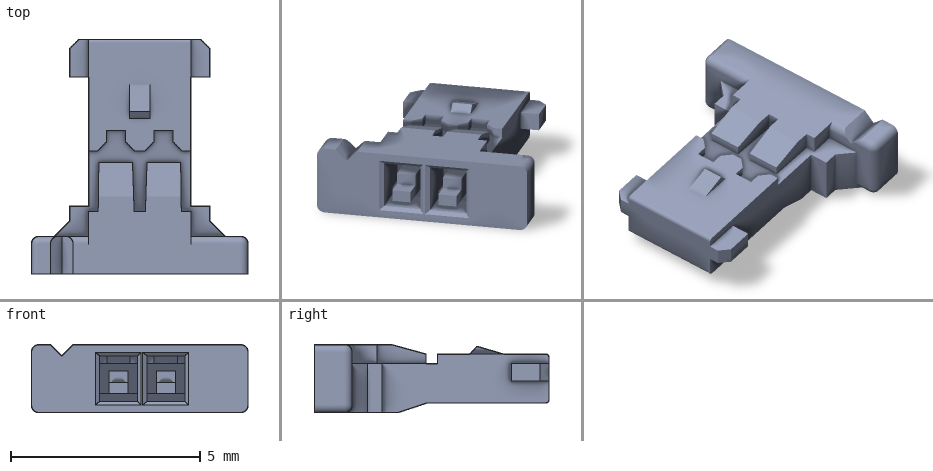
import cadquery as cq


length = 6.2
flange_width = 5.72
height = 1.8

body_width = 2.705
body_bottom = 0.255
body_top = 1.55
shelf_level = 1.295
under_slope_front = 2.21
under_slope_rear = 2.975
raised_block_end = 1.655
rear_deck_start = 3.25
rear_edge_radius = 0.09

flange_thickness = 1.0
flange_radius = 0.2
groove_x = -2.06
groove_depth = 0.3

shoulder_width = 3.71
shoulder_end = 1.79
shoulder_taper_end = 1.4
ear_length = 1.0
ear_bottom = 0.845
ear_chamfer = 0.25

tongue_tip = 2.95
tongue_slope_front = 2.045
tongue_root_inner = 0.15
tongue_root_outer = 1.1
tongue_tip_inner = 0.19
tongue_tip_outer = 1.08

contact_pitch = 1.25
notch_width = 0.51
notch_mouth_width = 0.98
notch_taper_end = 3.49
notch_end = 3.795

nib_width = 0.535
nib_front = 4.105
nib_peak = 4.295
nib_rear = 5.0
nib_top = 1.755

cavity_row_x = 0.07
cavity_width = 1.0
cavity_bottom = 0.3
cavity_top = 1.5
cavity_depth = 1.0
lead_in = 0.09
lead_in_left = 0.12
inner_bottom = 0.5
inner_depth = 1.5
keyway_width = 0.615
keyway_offset = -0.005
keyway_depth = 1.25

post_width = 0.5
post_step_height = 0.3
post_step_length = 0.5


def box(x_range, y_range, z_range):
    """Box between the given limits along X, Y and Z."""
    spans = [high - low for low, high in (x_range, y_range, z_range)]
    return cq.Workplane("XY").box(*spans, centered=False).translate((x_range[0], y_range[0], z_range[0]))


def centred(middle, width):
    return (middle - width / 2, middle + width / 2)


def side_extrusion(profile, width):
    """Extrude a (Y, Z) outline symmetrically along X."""
    return cq.Workplane("YZ").polyline(profile).close().extrude(width / 2, both=True)


def plan_extrusion(outline, bottom, top):
    """Extrude an (X, Y) outline between two Z levels."""
    return cq.Workplane("XY").workplane(offset=bottom).polyline(outline).close().extrude(top - bottom)


def mirrored_outline(right_half):
    """Close a right-hand (X, Y) outline with its reflection about X = 0."""
    return right_half + [(-x, y) for x, y in reversed(right_half)]


def make_body():
    profile = [
        (0, 0),
        (under_slope_front, 0),
        (under_slope_rear, body_bottom),
        (length, body_bottom),
        (length, body_top),
        (rear_deck_start, body_top),
        (rear_deck_start, shelf_level),
        (raised_block_end, shelf_level),
        (raised_block_end, height),
        (0, height),
    ]
    return side_extrusion(profile, body_width).edges("|X and >Y").fillet(rear_edge_radius)


def make_notch(x):
    half_width = notch_width / 2
    half_mouth = notch_mouth_width / 2
    right_half = [
        (half_mouth, rear_deck_start),
        (half_width, notch_taper_end),
        (half_width, notch_end),
    ]
    return plan_extrusion(mirrored_outline(right_half), shelf_level, body_top).translate((x, 0, 0))


def make_flange():
    flange = box(centred(0, flange_width), (0, flange_thickness), (0, height))
    flange = flange.edges("|Y").fillet(flange_radius)
    return flange.faces(">Y").edges().fillet(flange_radius)


def make_groove():
    """V groove with 45 degree sides along the top of the flange."""
    profile = [
        (groove_x - groove_depth, height),
        (groove_x, height - groove_depth),
        (groove_x + groove_depth, height),
    ]
    return cq.Workplane("XZ").polyline(profile).close().extrude(-flange_thickness)


def make_shoulders():
    half_width = shoulder_width / 2
    front = flange_thickness - flange_radius
    right_half = [
        (half_width + shoulder_taper_end - front, front),
        (half_width, shoulder_taper_end),
        (half_width, shoulder_end),
    ]
    return plan_extrusion(mirrored_outline(right_half), 0, shelf_level)


def make_ears():
    half_width = shoulder_width / 2
    right_half = [
        (body_width / 2, length - ear_length),
        (half_width, length - ear_length),
        (half_width, length - ear_chamfer),
        (half_width - ear_chamfer, length),
        (body_width / 2, length),
    ]
    right_ear = plan_extrusion(right_half, ear_bottom, shelf_level)
    return right_ear.union(right_ear.mirror("YZ"))


def make_tongues():
    outline = [
        (tongue_root_inner, raised_block_end),
        (tongue_root_outer, raised_block_end),
        (tongue_tip_outer, tongue_tip),
        (tongue_tip_inner, tongue_tip),
    ]
    slope = [
        (raised_block_end, shelf_level),
        (tongue_tip, shelf_level),
        (tongue_tip, body_top),
        (tongue_slope_front, height),
        (raised_block_end, height),
    ]
    right_tongue = plan_extrusion(outline, shelf_level, height)
    pair = right_tongue.union(right_tongue.mirror("YZ"))
    return pair.intersect(side_extrusion(slope, body_width))


def make_nib():
    profile = [(nib_front, body_top), (nib_peak, nib_top), (nib_rear, body_top)]
    return side_extrusion(profile, nib_width)


def make_lead_in(x):
    """Tapered mouth that narrows from the front face to the cavity section."""
    left, right = centred(x, cavity_width)
    mouth_left = left - lead_in_left
    mouth_right = right + lead_in
    mouth_bottom = cavity_bottom - lead_in
    mouth_top = cavity_top + lead_in
    mouth = [
        (mouth_left, mouth_bottom),
        (mouth_right, mouth_bottom),
        (mouth_right, mouth_top),
        (mouth_left, mouth_top),
    ]
    throat = [
        (left, cavity_bottom),
        (right, cavity_bottom),
        (right, cavity_top),
        (left, cavity_top),
    ]
    sections = cq.Workplane("XZ").polyline(mouth).close().workplane(offset=-lead_in)
    return sections.polyline(throat).close().loft(ruled=True)


def make_post(x):
    post_x = centred(x, post_width)
    step_level = inner_bottom + post_step_height
    post_top = step_level + post_step_height
    lower = box(post_x, (0, inner_depth), (inner_bottom, step_level))
    upper = box(post_x, (post_step_length, inner_depth), (step_level, post_top))
    return lower.union(upper)


def make_cavity(x):
    """Space to remove for one contact, leaving its post standing."""
    cavity_x = centred(x, cavity_width)
    keyway_x = centred(x + keyway_offset, keyway_width)
    cavity = box(cavity_x, (0, cavity_depth), (cavity_bottom, cavity_top))
    inner = box(cavity_x, (0, inner_depth), (inner_bottom, shelf_level))
    keyway = box(keyway_x, (0, keyway_depth), (shelf_level, cavity_top))
    space = cavity.union(inner).union(keyway).union(make_lead_in(x))
    return space.cut(make_post(x))


result = make_body().union(make_flange()).union(make_shoulders())
result = result.union(make_ears()).union(make_tongues()).union(make_nib())
result = result.cut(make_groove())
for side in (-1, 1):
    contact_x = side * contact_pitch / 2
    result = result.cut(make_notch(contact_x))
    result = result.cut(make_cavity(cavity_row_x + contact_x))